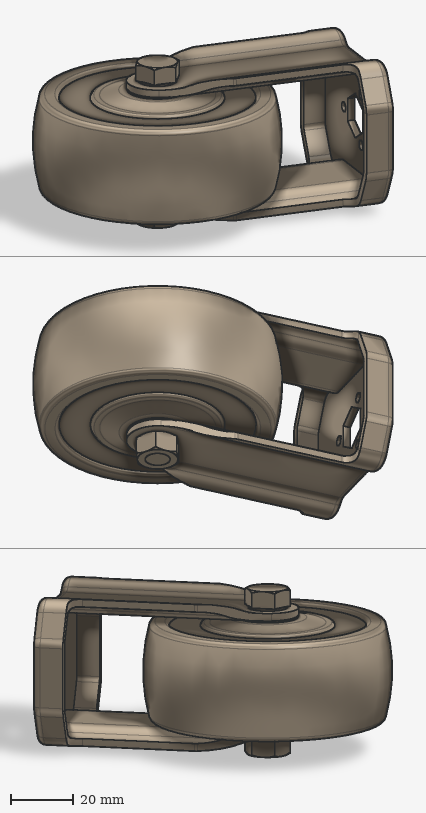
import cadquery as cq
import math


sheet = 2.5
back_y = 71.0
back_rounding = 2.45
rim_depth = 10.0
half_width = 28.0
crest_z = 24.0
flat_z = 20.5
leg_half_width = 17.5
flat_half_width = 9.8
ridge_radius = 6.5
flank_angle = 27.5
flank_corner_radius = 6.5
lug_radius = 10.0
taper_y = 19.7
taper_round = 3.0
leg_root_radius = 4.0
fork_hole_diameter = 8.5

hex_size = 13.0
plate_hole_diameter = 3.3
plate_hole_count = 3
plate_hole_circle_radius = 9.8

wheel_radius = 40.0
wheel_half_width = 16.0
tread_edge_radius = 38.1
tread_edge_z = 14.5
shoulder_radius = 36.3
bead_edge_radius = 33.0
bead_rounding = 1.4

hub_radius = 21.6
hub_step = 1.1
cone_radius = 18.65
hub_face_radius = 12.5
hub_face_z = 17.4
boss_diameter = 19.5
bore_diameter = 8.2

bolt_diameter = 8.0
washer_diameter = 12.5
washer_thickness = 0.8
head_height = 5.6
nut_height = 6.8
hex_chamfer_angle = 30.0

hex_corner_diameter = hex_size / math.cos(math.radians(30))
lug_inner_z = flat_z - sheet
rim_face_z = wheel_half_width - bead_rounding
tire_bore_radius = bead_edge_radius - bead_rounding
nut_end_z = -flat_z - nut_height
through_length = 4 * crest_z


def shift(point, direction, distance):
    """Point moved by a distance along a unit direction."""
    return (point[0] + distance * direction[0], point[1] + distance * direction[1])


def cylinder(diameter, bottom_z, height):
    """Cylinder on the wheel axis."""
    return cq.Workplane("XY", origin=(0, 0, bottom_z)).circle(diameter / 2).extrude(height)


def fork_section(inset):
    """Quarter of the closed XZ section of the fork, moved inward from the outer face by inset."""
    flank = math.radians(flank_angle)
    rise = crest_z - flat_z
    run = leg_half_width - flat_half_width
    valley_radius = (run ** 2 + rise ** 2) / (2 * rise) - ridge_radius
    swing = math.asin(run / (ridge_radius + valley_radius))

    ridge_center = (leg_half_width, crest_z - ridge_radius)
    valley_center = (flat_half_width, flat_z + valley_radius)
    r_ridge = ridge_radius - inset
    r_valley = valley_radius + inset

    def on_ridge(angle):
        return shift(ridge_center, (math.cos(angle), math.sin(angle)), r_ridge)

    def on_valley(angle):
        return shift(valley_center, (math.sin(angle), -math.cos(angle)), r_valley)

    flank_start = on_ridge(flank)
    side_x = half_width - inset
    corner_z = flank_start[1] - (side_x - flank_start[0]) / math.tan(flank)
    r_corner = flank_corner_radius - inset
    tangent = r_corner * math.tan(flank / 2)
    side_start = (side_x, corner_z - tangent)
    flank_end = shift((side_x, corner_z), (-math.sin(flank), math.cos(flank)), tangent)
    corner_center = (side_x - r_corner, side_start[1])
    corner_mid = shift(corner_center, (math.cos(flank / 2), math.sin(flank / 2)), r_corner)

    quarter = (
        cq.Workplane("XZ")
        .moveTo(0, 0)
        .lineTo(0, flat_z - inset)
        .lineTo(*on_valley(0))
        .threePointArc(on_valley(swing / 2), on_valley(swing))
        .threePointArc(on_ridge(math.pi / 2), flank_start)
        .lineTo(*flank_end)
        .threePointArc(corner_mid, side_start)
        .lineTo(side_x, 0)
        .close()
    )
    return quarter


def fork_block(inset, rear_y):
    """The fork section swept along Y from beyond the lugs to rear_y."""
    length = rear_y + lug_radius
    quarter = fork_section(inset).extrude(-length).translate((0, -lug_radius, 0))
    half = quarter.union(quarter.mirror("YZ"))
    return half.union(half.mirror("XY")).clean()


def fork_plan():
    """Plan outline of legs and rim, as a tall block that trims the fork."""
    rim_y = back_y - rim_depth
    reach = math.hypot(leg_half_width, taper_y)
    contact = math.atan2(taper_y, leg_half_width) - math.acos(lug_radius / reach)
    contact_point = (lug_radius * math.cos(contact), lug_radius * math.sin(contact))
    leg = (
        cq.Workplane("XY")
        .moveTo(-leg_half_width, rim_y)
        .lineTo(-leg_half_width, taper_y)
        .lineTo(-contact_point[0], contact_point[1])
        .threePointArc((0, -lug_radius), contact_point)
        .lineTo(leg_half_width, taper_y)
        .lineTo(leg_half_width, rim_y)
        .lineTo(half_width, rim_y)
        .lineTo(half_width, back_y)
        .lineTo(-half_width, back_y)
        .lineTo(-half_width, rim_y)
        .close()
        .extrude(through_length / 2, both=True)
    )
    for x in (-leg_half_width, leg_half_width):
        leg = leg.edges(cq.selectors.NearestToPointSelector((x, taper_y, 0))).fillet(taper_round)
        leg = leg.edges(cq.selectors.NearestToPointSelector((x, rim_y, 0))).fillet(leg_root_radius)
    return leg


def make_fork():
    outer = fork_block(0, back_y).faces(">Y").edges().fillet(back_rounding)
    fork = outer.cut(fork_block(sheet, back_y - sheet)).intersect(fork_plan())
    axle_hole = cylinder(fork_hole_diameter, -through_length / 2, through_length)
    hex_opening = (
        cq.Workplane("XZ", origin=(0, back_y, 0))
        .polygon(6, hex_corner_diameter)
        .extrude(2 * sheet)
        .rotate((0, 0, 0), (0, 1, 0), 30)
    )
    small_holes = (
        cq.Workplane("XZ", origin=(0, back_y, 0))
        .polarArray(plate_hole_circle_radius, 180, 360, plate_hole_count)
        .circle(plate_hole_diameter / 2)
        .extrude(2 * sheet)
    )
    return fork.cut(axle_hole).cut(hex_opening).cut(small_holes)


def revolve_section(section):
    """Solid of revolution about Z from an (X, Z) half section."""
    return section.close().revolve(360, (0, 0, 0), (0, 1, 0))


def ring_arc(center, radius, angle):
    """Point on a circular arc of the section, with its angle in degrees from +X."""
    turn = math.radians(angle)
    return shift(center, (math.cos(turn), math.sin(turn)), radius)


def upside_down(point):
    return (point[0], -point[1])


def make_tire():
    bead_center = (bead_edge_radius, rim_face_z)
    bead_start = (tire_bore_radius, rim_face_z)
    bead_mid = ring_arc(bead_center, bead_rounding, 135)
    bead_end = (bead_edge_radius, wheel_half_width)
    shoulder_start = (shoulder_radius, wheel_half_width)
    shoulder_mid = (
        shoulder_radius + (tread_edge_radius - shoulder_radius) * math.sqrt(0.5),
        tread_edge_z + (wheel_half_width - tread_edge_z) * math.sqrt(0.5),
    )
    tread_edge = (tread_edge_radius, tread_edge_z)
    section = (
        cq.Workplane("XZ")
        .moveTo(*upside_down(bead_start))
        .lineTo(*bead_start)
        .threePointArc(bead_mid, bead_end)
        .lineTo(*shoulder_start)
        .threePointArc(shoulder_mid, tread_edge)
        .threePointArc((wheel_radius, 0), upside_down(tread_edge))
        .threePointArc(upside_down(shoulder_mid), upside_down(shoulder_start))
        .lineTo(*upside_down(bead_end))
        .threePointArc(upside_down(bead_mid), upside_down(bead_start))
    )
    return revolve_section(section)


def make_rim():
    hub_ring_z = rim_face_z + hub_step
    hub_round_center = (hub_radius - hub_step, rim_face_z)
    upper_half = (
        cq.Workplane("XZ")
        .moveTo(bore_diameter / 2, 0)
        .lineTo(bore_diameter / 2, lug_inner_z)
        .lineTo(boss_diameter / 2, lug_inner_z)
        .lineTo(boss_diameter / 2, hub_face_z)
        .lineTo(hub_face_radius, hub_face_z)
        .lineTo(cone_radius, hub_ring_z)
        .lineTo(hub_radius - hub_step, hub_ring_z)
        .threePointArc(ring_arc(hub_round_center, hub_step, 45), (hub_radius, rim_face_z))
        .lineTo(tire_bore_radius, rim_face_z)
        .lineTo(tire_bore_radius, 0)
    )
    half_rim = revolve_section(upper_half)
    return half_rim.union(half_rim.mirror("XY")).clean()


def hex_prism(bottom_z, height, chamfer_bottom):
    """Hexagon with corners along Y and its corners cut by a cone at the top, and bottom if asked."""
    prism = (
        cq.Workplane("XY", origin=(0, 0, bottom_z))
        .polygon(6, hex_corner_diameter)
        .extrude(height)
        .rotate((0, 0, 0), (0, 0, 1), 30)
    )
    inset = (hex_corner_diameter - hex_size) / 2
    drop = inset * math.tan(math.radians(hex_chamfer_angle))
    envelope = cylinder(hex_corner_diameter, bottom_z, height)
    envelope = envelope.faces(">Z").chamfer(drop, inset)
    if chamfer_bottom:
        envelope = envelope.faces("<Z").chamfer(drop, inset)
    return prism.intersect(envelope)


def make_bolt():
    head_z = flat_z + washer_thickness
    shank = cylinder(bolt_diameter, nut_end_z, head_z - nut_end_z)
    washer_face = cylinder(washer_diameter, flat_z, washer_thickness)
    return hex_prism(head_z, head_height, False).union(washer_face).union(shank)


def make_nut():
    thread_hole = cylinder(bolt_diameter, nut_end_z, nut_height)
    return hex_prism(nut_end_z, nut_height, True).cut(thread_hole)


fork = make_fork()
tire = make_tire()
rim = make_rim()
bolt = make_bolt()
nut = make_nut()

result = cq.Compound.makeCompound([fork.val(), tire.val(), rim.val(), bolt.val(), nut.val()])